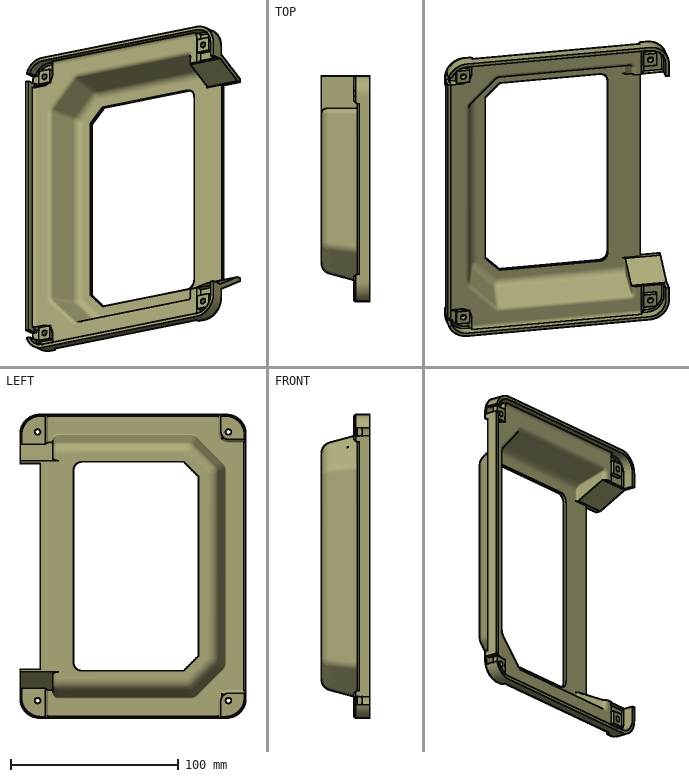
import cadquery as cq
import math

DEPTH = 29.0
WIDTH = 135.0
HEIGHT = 181.5
WALL = 2.0
OVERRUN = 5.0

HALF_W = WIDTH / 2
HALF_H = HEIGHT / 2

CORNER_R = 12.0
FLANGE_X = 21.5
FLANGE_CHAMFER = 1.2
PAD_X = 19.5
PAD_CHAMFER = 1.0
PAD_SIZE = 15.0
PAD_FOOT_R = 6.5
PAD_STEP = FLANGE_X - PAD_X
PAD_SLOPE = 40.0
PAD_FOOT = PAD_SIZE + PAD_STEP * math.tan(math.radians(PAD_SLOPE))

DOME_MARGIN = 12.3
DOME_END_Y = 48.0
DOME_CORNER_CUT = 18.5
DOME_DRAFT = 15.0
DOME_FRONT_R = 7.0
DOME_CORNER_R = 6.0
DOME_END_R = 3.2

FOOT_R = 0.8
FOOT_BAND = 0.01

WING_START_Y = 44.5
WING_TIP_Z = HALF_H - 27.6
WING_ROOT_Z = HALF_H - 16.8
WING_SLOPE = (WING_ROOT_Z - WING_TIP_Z) / FLANGE_X
WING_WALL = 3.0
WING_LIP = 1.75
FRONT_EDGE_Y = HALF_W - 12.0

WINDOW_MARGIN = DOME_MARGIN + 16.1
WINDOW_MAX_Y = HALF_W - 32.0
WINDOW_CORNER_CUT = 8.8
WINDOW_CORNER_R = 5.0

HOLE_D = 3.24
HOLE_INSET = 10.5
BOSS_SIZE = 8.0
BOSS_END_X = 24.5
SLOT_WIDTH = 4.8
SLOT_X = 21.5


def rim_block(front_x, chamfer, inset):
    """Rounded rectangular block from front_x to the back, front edge chamfered."""
    return (
        cq.Workplane("YZ", origin=(front_x, 0, 0))
        .rect(WIDTH - 2 * inset, HEIGHT - 2 * inset)
        .extrude(DEPTH - front_x)
        .edges("|X")
        .fillet(CORNER_R - inset)
        .faces("<X")
        .chamfer(chamfer)
    )


def foot_shift(inset, draft):
    """Inward shift of a drafted wall's foot when wall and foot plane both move by inset."""
    angle = math.radians(draft)
    return inset * (1 - math.sin(angle)) / math.cos(angle)


def pad_prism(side_y, side_z, inset):
    """Corner block with sloped inner walls, oversize beyond the rim."""
    foot = PAD_FOOT - foot_shift(inset, PAD_SLOPE)
    inner_y = side_y * (HALF_W - foot)
    inner_z = side_z * (HALF_H - foot)
    if side_y > 0:
        inner_z -= side_z * OVERRUN
    outer_y = side_y * (HALF_W + OVERRUN)
    outer_z = side_z * (HALF_H + OVERRUN)
    footprint = (
        cq.Sketch()
        .push([((inner_y + outer_y) / 2, (inner_z + outer_z) / 2)])
        .rect(abs(outer_y - inner_y), abs(outer_z - inner_z))
        .reset()
        .vertices()
    )
    if side_y < 0:
        footprint = footprint.fillet(PAD_FOOT_R)
    foot_plane = cq.Workplane("YZ", origin=(FLANGE_X + inset, 0, 0)).placeSketch(footprint)
    base = foot_plane.extrude(FLANGE_CHAMFER)
    return foot_plane.extrude(-PAD_STEP, taper=PAD_SLOPE).union(base)


def flange(inset):
    return rim_block(FLANGE_X + inset, FLANGE_CHAMFER, inset)


def add_pads(body, inset):
    pad_level = rim_block(PAD_X + inset, PAD_CHAMFER, inset)
    for side_y in (-1, 1):
        for side_z in (-1, 1):
            body = body.union(pad_level.intersect(pad_prism(side_y, side_z, inset)))
    return body


def cut_corner_points(min_y, max_y, half_z, corner_cut):
    """Rectangle whose two -Y corners are cut at 45 degrees."""
    return [
        (max_y, half_z),
        (min_y + corner_cut, half_z),
        (min_y, half_z - corner_cut),
        (min_y, corner_cut - half_z),
        (min_y + corner_cut, -half_z),
        (max_y, -half_z),
    ]


def dome(inset):
    """Drafted dome with rounded edges; inset > 0 gives the cavity inside it."""
    shift = foot_shift(inset, DOME_DRAFT)
    margin = DOME_MARGIN + shift
    corner_cut = DOME_CORNER_CUT - shift * (2 - math.sqrt(2))
    foot_points = cut_corner_points(
        margin - HALF_W, HALF_W + OVERRUN, HALF_H - margin, corner_cut
    )
    end_y = DOME_END_Y - inset
    body = (
        cq.Workplane("YZ", origin=(FLANGE_X + inset, 0, 0))
        .polyline(foot_points)
        .close()
        .extrude(-FLANGE_X, taper=DOME_DRAFT)
    )
    beyond_end = (
        cq.Workplane("XZ", origin=(DEPTH / 2, end_y, 0))
        .rect(DEPTH, HEIGHT)
        .extrude(-WIDTH)
    )
    body = body.cut(beyond_end)
    body = body.edges("(not #X) and (not >Y)").fillet(DOME_CORNER_R - inset)
    body = body.faces("<X").edges("not >Y").fillet(DOME_FRONT_R - inset)
    return body.faces(">Y").edges("not >X").fillet(DOME_END_R - inset)


def wing_prism(start_y, end_y):
    """Trapezoidal block whose two sloped sides are the outer faces of the wings."""
    profile = [
        (0, WING_TIP_Z),
        (FLANGE_X, WING_ROOT_Z),
        (DEPTH, WING_ROOT_Z),
        (DEPTH, -WING_ROOT_Z),
        (FLANGE_X, -WING_ROOT_Z),
        (0, -WING_TIP_Z),
    ]
    return cq.Workplane("XZ", origin=(0, end_y, 0)).polyline(profile).close().extrude(end_y - start_y)


def wing_cavity(front_x, start_y, end_y):
    """Space between the wings: flat lip at the tip, then the sloped inner face."""
    thickness_z = WING_WALL * math.hypot(1, WING_SLOPE)
    lip_z = WING_TIP_Z - WING_LIP
    lip_x = (thickness_z - WING_LIP) / WING_SLOPE
    root_z = WING_ROOT_Z - thickness_z
    upper = [
        (front_x, lip_z),
        (lip_x, lip_z),
        (FLANGE_X, root_z),
        (DEPTH, root_z),
    ]
    lower = [(x, -z) for x, z in reversed(upper)]
    return (
        cq.Workplane("XZ", origin=(0, end_y, 0))
        .polyline(upper + lower)
        .close()
        .extrude(end_y - start_y)
    )


def round_feet(body, inset):
    """Fillet every edge where a raised shape meets the flange face."""
    foot_x = FLANGE_X + inset
    reach_y = HALF_W - inset - 2 * FLANGE_CHAMFER
    reach_z = HALF_H - inset - 2 * FLANGE_CHAMFER
    foot_edges = cq.selectors.BoxSelector(
        (foot_x - FOOT_BAND, -reach_y, -reach_z),
        (foot_x + FOOT_BAND, reach_y, reach_z),
    )
    return body.edges(foot_edges).fillet(FOOT_R + inset)


def window():
    points = cut_corner_points(
        WINDOW_MARGIN - HALF_W, WINDOW_MAX_Y, HALF_H - WINDOW_MARGIN, WINDOW_CORNER_CUT
    )
    prism = (
        cq.Workplane("YZ", origin=(-OVERRUN, 0, 0))
        .polyline(points)
        .close()
        .extrude(2 * OVERRUN)
    )
    return prism.edges("|X and >Y").fillet(WINDOW_CORNER_R)


def add_screw_points(body):
    """Boss and through hole behind each pad, slots through the -Y skirt."""
    hole_y = HALF_W - HOLE_INSET
    hole_z = HALF_H - HOLE_INSET
    points = [(y, z) for y in (-hole_y, hole_y) for z in (-hole_z, hole_z)]
    boss_x = PAD_X + WALL / 2
    bosses = (
        cq.Workplane("YZ", origin=(boss_x, 0, 0))
        .pushPoints(points)
        .rect(BOSS_SIZE, BOSS_SIZE)
        .extrude(BOSS_END_X - boss_x)
    )
    holes = cq.Workplane("YZ").pushPoints(points).circle(HOLE_D / 2).extrude(DEPTH)
    slot_depth = HOLE_INSET - BOSS_SIZE / 2
    slots = (
        cq.Workplane("YZ", origin=(SLOT_X, 0, 0))
        .pushPoints([(slot_depth / 2 - HALF_W, z) for z in (-hole_z, hole_z)])
        .rect(slot_depth, SLOT_WIDTH)
        .extrude(DEPTH - SLOT_X)
    )
    return body.union(bosses).cut(holes).cut(slots)


outside = round_feet(add_pads(flange(0).union(dome(0)), 0), 0)
outside = outside.union(wing_prism(WING_START_Y, HALF_W))

behind_front = wing_cavity(WALL, DOME_END_Y - WALL - DOME_END_R, HALF_W + OVERRUN)
front_opening = wing_cavity(0, FRONT_EDGE_Y, HALF_W + OVERRUN)

cavity = add_pads(round_feet(flange(WALL).union(dome(WALL)), WALL), WALL)

shell = outside.cut(cavity).cut(behind_front).cut(front_opening)
shell = shell.cut(window())
result = add_screw_points(shell)